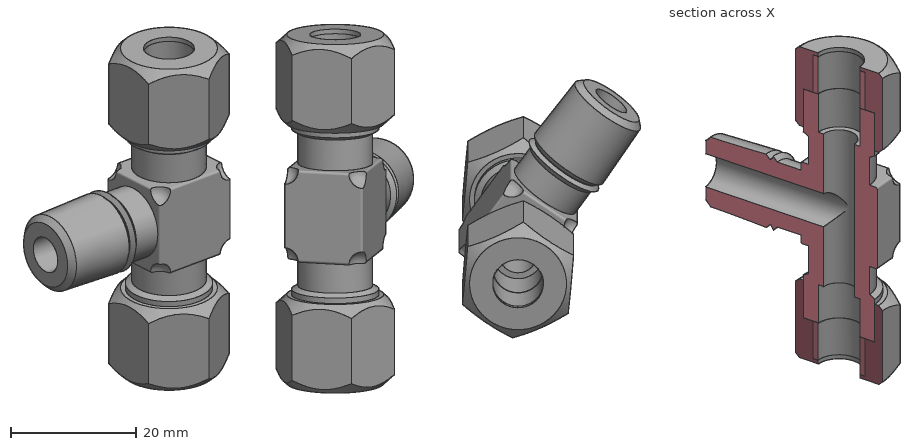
import cadquery as cq
import math


block_width = 13.0
block_length = 15.0
edge_round = 0.4
corner_scoop_radius = 2.3

bore_diameter = 6.0
tube_diameter = 8.0
clearance_diameter = 8.1

stem_radius = 6.0
collar_radius = 7.0
collar_cone_angle = 30.0
nut_start = 14.0
collar_start = nut_start - 0.9
spigot_end = 21.0
tube_stop = 14.0

branch_end = 26.0
thread_length = 11.8
thread_start = branch_end - thread_length
thread_gauge_radius = 13.157 / 2
gauge_distance = 20.0
thread_taper = 1 / 16
end_chamfer = 1.0
ridge_start = 12.0
ridge_peak = 12.8
ridge_radius = stem_radius + ridge_peak - ridge_start
groove_floor = 0.08

nut_across_flats = 17.0
nut_height = 14.5
nut_end = nut_start + nut_height
nut_face_radius = 7.75
nut_chamfer_angle = 43.0
nut_lip = 0.75

ferrule_outer_radius = 5.0
ferrule_end = nut_end - nut_lip


def ring(outer_radius, inner_radius, start, end):
    """Plain ring around Z from one height to another."""
    return (
        cq.Workplane("XY")
        .workplane(offset=start)
        .circle(outer_radius)
        .circle(inner_radius)
        .extrude(end - start)
    )


def cylinder(radius, start, end):
    """Plain cylinder around Z from one height to another."""
    return cq.Workplane("XY").workplane(offset=start).circle(radius).extrude(end - start)


def turned(profile):
    """Solid turned around Z from a closed profile of (radius, height) points."""
    return cq.Workplane("XZ").polyline(profile).close().revolve(360, (0, 0), (0, 1))


def mirrored_below(body):
    """Copy of a body on the other side of the XY plane."""
    return body.mirror("XY")


def make_block():
    """Round-edged block with a spherical scoop at each corner."""
    block = cq.Workplane("XY").box(block_width, block_length, block_length)
    corners = block.vertices().vals()
    block = block.edges().fillet(edge_round)
    for corner in corners:
        outward = math.degrees(math.atan2(corner.Y, corner.X))
        scoop = (
            cq.Workplane("XY")
            .sphere(corner_scoop_radius)
            .rotate((0, 0, 0), (0, 0, 1), outward)
            .translate(corner.toTuple())
        )
        block = block.cut(scoop)
    return block


def make_tube_end():
    """Upper tube end: stem, cone and collar that carries the nut."""
    cone_height = (collar_radius - stem_radius) * math.tan(math.radians(collar_cone_angle))
    return turned([
        (0, 0),
        (stem_radius, 0),
        (stem_radius, collar_start - cone_height),
        (collar_radius, collar_start),
        (collar_radius, spigot_end),
        (0, spigot_end),
    ])


def thread_radius(distance):
    """Radius of the taper thread at a distance from the centre."""
    return thread_gauge_radius + (gauge_distance - distance) * thread_taper / 2


def make_branch():
    """Taper-thread end with its ridge and groove, turned round to point along -Y."""
    chamfer_start = branch_end - end_chamfer
    groove_end = thread_start - (thread_radius(thread_start) - stem_radius)
    branch = turned([
        (0, 0),
        (stem_radius, 0),
        (stem_radius, ridge_start),
        (ridge_radius, ridge_peak),
        (stem_radius, groove_end - groove_floor),
        (stem_radius, groove_end),
        (thread_radius(thread_start), thread_start),
        (thread_radius(chamfer_start), chamfer_start),
        (thread_radius(chamfer_start) - end_chamfer, branch_end),
        (0, branch_end),
    ])
    return branch.rotate((0, 0, 0), (1, 0, 0), 90)


def make_tee():
    """Tee body with its bores and tube sockets."""
    tube_end = make_tube_end()
    tee = make_block().union(tube_end).union(mirrored_below(tube_end)).union(make_branch())

    through_bore = cylinder(bore_diameter / 2, -spigot_end, spigot_end)
    branch_bore = cylinder(bore_diameter / 2, 0, branch_end).rotate((0, 0, 0), (1, 0, 0), 90)
    socket = cylinder(tube_diameter / 2, tube_stop, spigot_end)
    for hollow in (through_bore, branch_bore, socket, mirrored_below(socket)):
        tee = tee.cut(hollow)
    return tee


def make_nut():
    """Upper hexagon nut, chamfered at both ends, hollow for the collar and the ferrule."""
    corner_radius = nut_across_flats / math.sqrt(3)
    chamfer_height = (corner_radius - nut_face_radius) * math.tan(math.radians(nut_chamfer_angle))
    hexagon = (
        cq.Workplane("XY")
        .workplane(offset=nut_start)
        .polygon(6, 2 * corner_radius)
        .extrude(nut_height)
    )
    envelope = turned([
        (0, nut_start),
        (nut_face_radius, nut_start),
        (corner_radius, nut_start + chamfer_height),
        (corner_radius, nut_end - chamfer_height),
        (nut_face_radius, nut_end),
        (0, nut_end),
    ])
    return (
        hexagon.intersect(envelope)
        .cut(cylinder(collar_radius, nut_start, spigot_end))
        .cut(cylinder(ferrule_outer_radius, spigot_end, ferrule_end))
        .cut(cylinder(clearance_diameter / 2, ferrule_end, nut_end))
    )


def make_ferrule():
    """Upper ferrule, held between the end of the tee and the lip of the nut."""
    return ring(ferrule_outer_radius, clearance_diameter / 2, spigot_end, ferrule_end)


bodies = [make_tee().val()]
for upper_body in (make_nut(), make_ferrule()):
    bodies.append(upper_body.val())
    bodies.append(mirrored_below(upper_body).val())

result = cq.Compound.makeCompound(bodies)